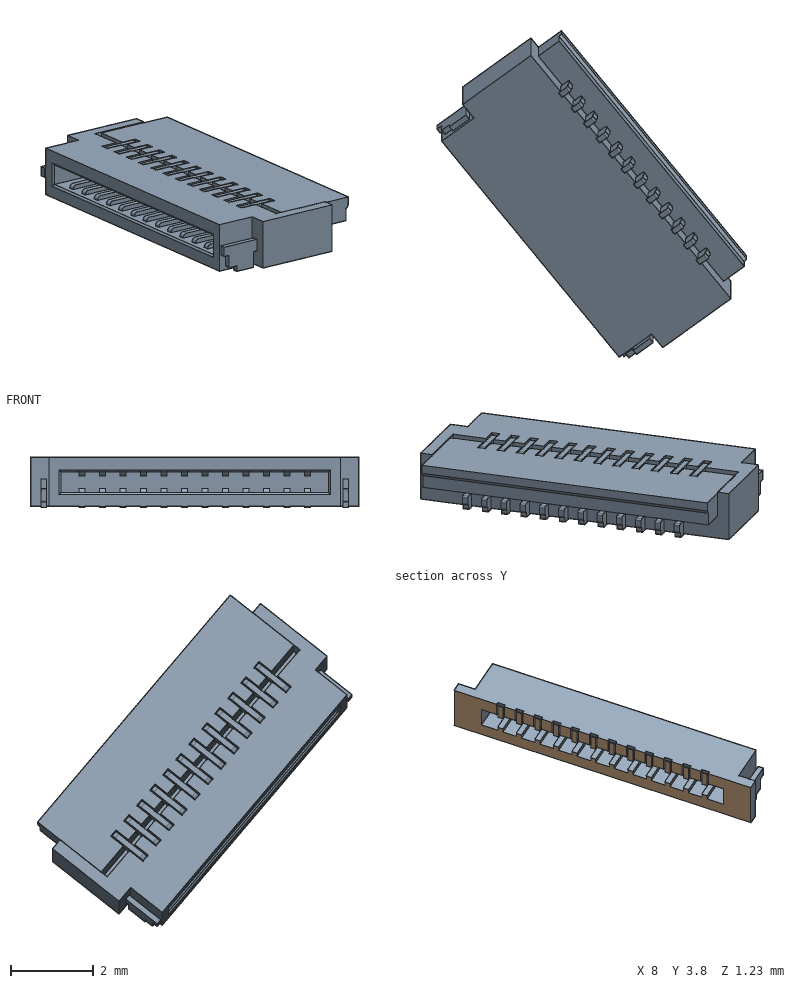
import cadquery as cq

length = 8.0
housing_depth = 3.09
housing_height = 1.2
seating_drop = 0.03

corner_width = 0.45
corner_depth = 0.99

cavity_width = 6.51
cavity_floor = 0.34
cavity_roof = 0.84
cavity_depth = 1.52
lead_in = 0.05

flap_width = 7.41
flap_top = 1.18
flap_bottom = 0.58
flap_back = 3.8
flap_lip_height = 0.21
flap_lip_overhang = 0.07
flap_lip_slope = 0.09
flap_front = 1.8
pocket_front = 1.61

contact_count = 12
contact_pitch = 0.5
contact_width = 0.14
slot_width = 0.2
slot_front = 1.18
slot_back = 2.19
slot_floor = 0.92
beam_top = 1.18
beam_end_radius = 0.11
upper_lobe_bottom = 0.74
upper_lobe_depth = 0.29
lower_contact_front = 0.18
lower_contact_top = 0.44

tail_top = 0.34
tail_back = 3.35
tail_step = 0.05
tail_step_height = 0.1
tail_toe = 3.03
tail_corner = 0.04

tab_outer = 3.74
tab_thickness = 0.14
tab_top = 0.67
tab_nose_bottom = 0.43
tab_nose_depth = 0.14
tab_step_height = 0.11
tab_foot_front = 0.38
tab_foot_back = 0.9
tab_root_bottom = 0.38
tab_bend_radius = 0.02


def block(width, y_front, y_back, z_bottom, z_top, x_center=0):
    """Box centred on x_center, spanning the given Y and Z ranges."""
    box = cq.Workplane("XY").box(width, y_back - y_front, z_top - z_bottom, centered=(True, False, False))
    return box.translate((x_center, y_front, z_bottom))


def side_plate(profile, width, x_center):
    """Extrude a closed (y, z) profile into a plate centred on x_center."""
    return profile.extrude(width / 2, both=True).translate((x_center, 0, 0))


def make_housing():
    body = block(length, 0, housing_depth, 0, housing_height)
    for side in (-1, 1):
        corner_center = side * (length - corner_width) / 2
        body = body.cut(block(corner_width, 0, corner_depth, 0, housing_height, corner_center))
    body = body.cut(block(flap_width, pocket_front, housing_depth, flap_bottom, housing_height))
    return body.cut(make_cavity())


def make_cavity():
    """Cable opening, flared on all four sides at the mating face."""
    height = cavity_roof - cavity_floor
    opening = block(cavity_width, 0, cavity_depth, cavity_floor, cavity_roof)
    flare = (
        cq.Workplane("XZ", origin=(0, 0, (cavity_floor + cavity_roof) / 2))
        .rect(cavity_width + 2 * lead_in, height + 2 * lead_in)
        .workplane(offset=-lead_in)
        .rect(cavity_width, height)
        .loft()
    )
    return opening.union(flare)


def make_flap():
    lip_bottom = flap_top - flap_lip_height
    under_lip = flap_back - flap_lip_overhang
    profile = cq.Workplane("YZ").polyline([
        (flap_front, flap_bottom),
        (under_lip, flap_bottom),
        (under_lip, lip_bottom - flap_lip_slope),
        (flap_back, lip_bottom),
        (flap_back, flap_top),
        (flap_front, flap_top),
    ]).close()
    return side_plate(profile, flap_width, 0)


def make_contact_slot(x_center):
    """Slot through the roof and into the flap, open to the cable cavity in front."""
    slot = block(slot_width, slot_front, slot_back, slot_floor, housing_height, x_center)
    return slot.union(block(slot_width, slot_front, cavity_depth, cavity_roof, slot_floor, x_center))


def make_upper_beam(x_center):
    """Spring beam with rounded ends and a round lobe hanging into the cavity."""
    lobe_radius = upper_lobe_depth / 2
    lobe_axis = upper_lobe_bottom + lobe_radius
    profile = (
        cq.Workplane("YZ")
        .moveTo(slot_front, lobe_axis)
        .lineTo(slot_front, beam_top - beam_end_radius)
        .radiusArc((slot_front + beam_end_radius, beam_top), beam_end_radius)
        .lineTo(slot_back - beam_end_radius, beam_top)
        .radiusArc((slot_back, beam_top - beam_end_radius), beam_end_radius)
        .lineTo(slot_back, slot_floor)
        .lineTo(slot_front + upper_lobe_depth, slot_floor)
        .lineTo(slot_front + upper_lobe_depth, lobe_axis)
        .threePointArc((slot_front + lobe_radius, upper_lobe_bottom), (slot_front, lobe_axis))
        .close()
    )
    return side_plate(profile, contact_width, x_center)


def make_lower_contact(x_center):
    """Round-nosed arm lying on the cavity floor, rooted in the rear wall of the cavity."""
    nose_radius = lower_contact_top - cavity_floor
    profile = (
        cq.Workplane("YZ")
        .moveTo(lower_contact_front, cavity_floor)
        .radiusArc((lower_contact_front + nose_radius, lower_contact_top), nose_radius)
        .lineTo(cavity_depth, lower_contact_top)
        .lineTo(cavity_depth, cavity_floor)
        .close()
    )
    return side_plate(profile, contact_width, x_center)


def make_solder_tail(x_center):
    step_back = tail_back - tail_step
    profile = (
        cq.Workplane("YZ")
        .moveTo(tail_toe, -seating_drop)
        .lineTo(step_back - tail_corner, -seating_drop)
        .radiusArc((step_back, -seating_drop + tail_corner), -tail_corner)
        .lineTo(step_back, tail_step_height)
        .radiusArc((tail_back, tail_step_height + tail_step), -tail_step)
        .lineTo(tail_back, tail_top - tail_corner)
        .radiusArc((tail_back - tail_corner, tail_top), -tail_corner)
        .lineTo(tail_toe, tail_top)
        .close()
    )
    return side_plate(profile, contact_width, x_center)


def make_tab(side):
    """Stepped metal tab rooted in the corner notch, with a solder foot below."""
    profile = cq.Workplane("YZ").polyline([
        (0, tab_top),
        (0, tab_nose_bottom),
        (tab_nose_depth, tab_nose_bottom),
        (tab_nose_depth, tab_step_height),
        (tab_foot_front, tab_step_height),
        (tab_foot_front, -seating_drop),
        (tab_foot_back, -seating_drop),
        (tab_foot_back, tab_root_bottom),
        (corner_depth, tab_root_bottom),
        (corner_depth, tab_top),
    ]).close()
    tab = side_plate(profile, tab_thickness, side * (tab_outer - tab_thickness / 2))
    rounded_corners = [
        (tab_nose_depth, tab_nose_bottom),
        (tab_nose_depth, tab_step_height),
        (tab_foot_back, tab_root_bottom),
    ]
    for y, z in rounded_corners:
        corner = cq.Vector(side * tab_outer, y, z)
        tab = tab.edges("|X").edges(cq.selectors.NearestToPointSelector(corner)).fillet(tab_bend_radius)
    return tab


result = make_housing().union(make_flap())

for index in range(contact_count):
    contact_x = (index - (contact_count - 1) / 2) * contact_pitch
    result = result.cut(make_contact_slot(contact_x))
    result = result.union(make_upper_beam(contact_x))
    result = result.union(make_lower_contact(contact_x))
    result = result.union(make_solder_tail(contact_x))

for side in (-1, 1):
    result = result.union(make_tab(side))